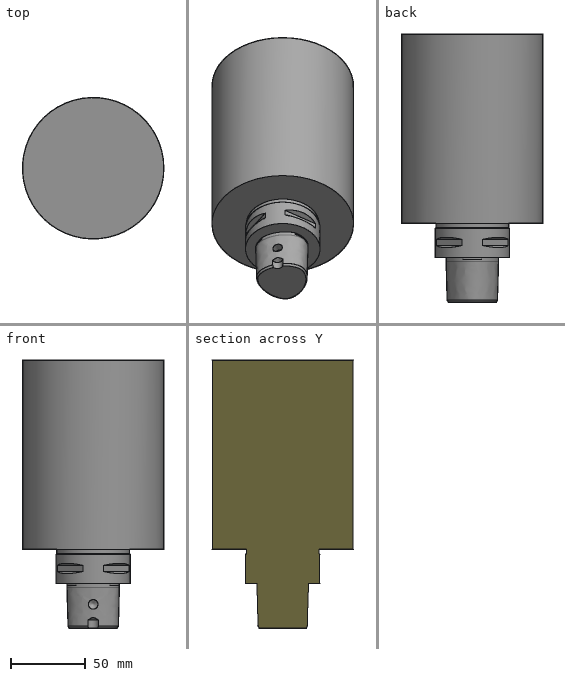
import cadquery as cq
import math

head_diameter = 95.0
head_top = 150.0
head_bottom = 23.0

flange_diameter = 50.0
flange_height = 20.2
flange_chamfer = 0.5
neck_diameter = flange_diameter - 2 * flange_chamfer

groove_count = 4
groove_first_angle = 45.0
groove_center_height = 10.2
groove_floor_width = 4.0
groove_depth = 3.2
groove_flank_angle = 25.0
groove_overrun = 1.0

lobe_count = 3
lobe_direction = 90.0
seam_turn = -0.25
curve_points = 60
shank_mean_diameter = 35.3
shank_eccentricity = 1.0
shank_length = 30.0
shank_straight_length = 2.7
shank_taper = 1 / 20
shank_end_chamfer_height = 1.6
shank_end_chamfer_width = 0.9
relief_diameter = 35.8
relief_height = 1.2

drill_point_angle = 118.0

cross_hole_diameter = 6.4
cross_hole_depth = 6.0
cross_hole_height = -13.9

notch_diameter = 7.3
notch_depth = 5.6
notch_axis_y = -16.8


def cylinder(diameter, bottom, top):
    base = cq.Workplane("XY").workplane(offset=bottom)
    return base.circle(diameter / 2).extrude(top - bottom)


def lobed_wire(mean_diameter, height):
    """Three-lobed constant-width curve, traced by the angle of its outward normal."""

    def point(turn):
        angle = 2 * math.pi * turn
        phase = lobe_count * (angle - math.radians(lobe_direction))
        support = mean_diameter / 2 + shank_eccentricity * math.cos(phase)
        slope = -lobe_count * shank_eccentricity * math.sin(phase)
        x = support * math.cos(angle) - slope * math.sin(angle)
        y = support * math.sin(angle) + slope * math.cos(angle)
        return (x, y, height)

    curve = cq.Workplane("XY").parametricCurve(
        point, N=curve_points, start=seam_turn, stop=seam_turn + 1
    )
    return curve.val()


def lobed_section(top_diameter, top, bottom_diameter, bottom):
    """Ruled stretch of shank between two lobed curves."""
    wires = [lobed_wire(top_diameter, top), lobed_wire(bottom_diameter, bottom)]
    return cq.Workplane(cq.Solid.makeLoft(wires, True))


def drill(diameter, depth):
    """Drill with its mouth at the origin, pointing along +Z and ending in a cone."""
    radius = diameter / 2
    tip = radius / math.tan(math.radians(drill_point_angle / 2))
    corners = [(0, 0), (radius, 0), (radius, depth), (0, depth + tip)]
    profile = cq.Workplane("XZ").polyline(corners).close()
    return profile.revolve(360, (0, 0, 0), (0, 1, 0))


def make_shank():
    chamfer_start = shank_end_chamfer_height - shank_length
    taper_length = -shank_straight_length - chamfer_start
    small_diameter = shank_mean_diameter - shank_taper * taper_length
    end_diameter = small_diameter - 2 * shank_end_chamfer_width
    straight = lobed_section(shank_mean_diameter, 0, shank_mean_diameter, -shank_straight_length)
    tapered = lobed_section(shank_mean_diameter, -shank_straight_length, small_diameter, chamfer_start)
    chamfered = lobed_section(small_diameter, chamfer_start, end_diameter, -shank_length)
    relief = cylinder(flange_diameter, -relief_height, 0)
    relief = relief.cut(cylinder(relief_diameter, -relief_height, 0))
    return straight.cut(relief).union(tapered).union(chamfered)


def make_groove():
    """Trapezoidal groove cutter on the +X side, running along Y."""
    floor = flange_diameter / 2 - groove_depth
    outside = flange_diameter / 2 + groove_overrun
    half_floor = groove_floor_width / 2
    half_mouth = half_floor + (outside - floor) * math.tan(math.radians(groove_flank_angle))
    corners = [(floor, -half_floor), (floor, half_floor), (outside, half_mouth), (outside, -half_mouth)]
    profile = cq.Workplane("XZ").polyline(corners).close()
    return profile.extrude(flange_diameter / 2, both=True).translate((0, 0, groove_center_height))


def make_flange():
    flange = cylinder(flange_diameter, 0, flange_height).faces(">Z").chamfer(flange_chamfer)
    for index in range(groove_count):
        angle = groove_first_angle + index * 360 / groove_count
        flange = flange.cut(make_groove().rotate((0, 0, 0), (0, 0, 1), angle))
    return flange


def cut_cross_hole(body):
    mouth_y = -(shank_mean_diameter / 2 - shank_eccentricity)
    tool = drill(cross_hole_diameter, cross_hole_depth)
    tool = tool.rotate((0, 0, 0), (1, 0, 0), -90).translate((0, mouth_y, cross_hole_height))
    return body.cut(tool)


def cut_end_notch(body):
    tool = drill(notch_diameter, notch_depth).translate((0, notch_axis_y, -shank_length))
    return body.cut(tool)


head = cylinder(head_diameter, head_bottom, head_top)
neck = cylinder(neck_diameter, flange_height, head_bottom)
body = head.union(neck).union(make_flange()).union(make_shank())
result = cut_end_notch(cut_cross_hole(body))